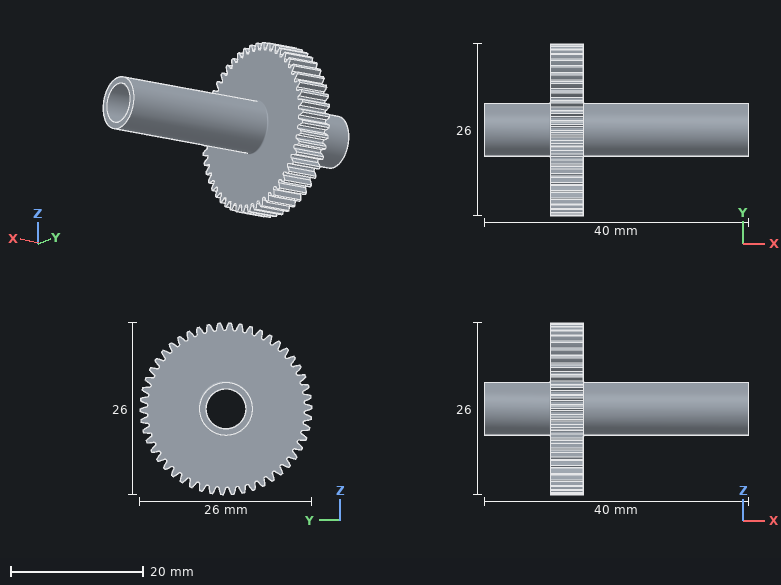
import cadquery as cq
import math

SHAFT_LENGTH = 40.0
SHAFT_RADIUS = 4.0
BORE_RADIUS = 3.0

MODULE = 0.5
TEETH = 50
PRESSURE_ANGLE = math.radians(20.0)
GEAR_START = 10.0
GEAR_WIDTH = 5.0
FIRST_TOOTH_ANGLE = math.radians(-0.96)
ROOT_ARC_DEPTH = 0.3
JUNCTION_FILLET = 0.2

PITCH_RADIUS = MODULE * TEETH / 2
TIP_RADIUS = PITCH_RADIUS + MODULE
CLEARANCE = 0.25 * MODULE
ROOT_RADIUS = PITCH_RADIUS - MODULE - CLEARANCE
BASE_RADIUS = PITCH_RADIUS * math.cos(PRESSURE_ANGLE)
TOOTH_PITCH = 2 * math.pi / TEETH
FLANK_START_RADIUS = ROOT_RADIUS + ROOT_ARC_DEPTH
FLANK_MIDDLE_RADIUS = (FLANK_START_RADIUS + TIP_RADIUS) / 2


def polar(radius, angle):
    return (radius * math.cos(angle), radius * math.sin(angle))


def involute(angle):
    return math.tan(angle) - angle


def half_tooth_angle(radius):
    """Angle from the tooth centreline to its involute flank at a radius."""
    flank_angle = math.acos(BASE_RADIUS / radius)
    return TOOTH_PITCH / 4 + involute(PRESSURE_ANGLE) - involute(flank_angle)


def gear_outline():
    """Toothed outline in the YZ plane: arcs for the involute flanks (approximated), tips and roots."""
    start_half = half_tooth_angle(FLANK_START_RADIUS)
    middle_half = half_tooth_angle(FLANK_MIDDLE_RADIUS)
    tip_half = half_tooth_angle(TIP_RADIUS)

    outline = cq.Workplane("YZ", origin=(GEAR_START, 0, 0))
    outline = outline.moveTo(*polar(FLANK_START_RADIUS, FIRST_TOOTH_ANGLE - start_half))
    for tooth in range(TEETH):
        center = FIRST_TOOTH_ANGLE + tooth * TOOTH_PITCH
        next_center = center + TOOTH_PITCH
        outline = outline.threePointArc(
            polar(FLANK_MIDDLE_RADIUS, center - middle_half),
            polar(TIP_RADIUS, center - tip_half),
        )
        outline = outline.threePointArc(
            polar(TIP_RADIUS, center),
            polar(TIP_RADIUS, center + tip_half),
        )
        outline = outline.threePointArc(
            polar(FLANK_MIDDLE_RADIUS, center + middle_half),
            polar(FLANK_START_RADIUS, center + start_half),
        )
        outline = outline.threePointArc(
            polar(ROOT_RADIUS, center + TOOTH_PITCH / 2),
            polar(FLANK_START_RADIUS, next_center - start_half),
        )
    return outline.close()


def gear():
    bore = cq.Workplane("YZ", origin=(GEAR_START, 0, 0)).circle(BORE_RADIUS).extrude(GEAR_WIDTH)
    return gear_outline().extrude(GEAR_WIDTH).cut(bore)


def shaft_with_fillets():
    """Shaft revolved about X, flaring in a fillet into each gear face."""
    gear_end = GEAR_START + GEAR_WIDTH
    flare_radius = SHAFT_RADIUS + JUNCTION_FILLET
    sag = JUNCTION_FILLET * (1 - math.sqrt(0.5))
    profile = (
        cq.Workplane("XY")
        .moveTo(0, BORE_RADIUS)
        .lineTo(0, SHAFT_RADIUS)
        .lineTo(GEAR_START - JUNCTION_FILLET, SHAFT_RADIUS)
        .threePointArc((GEAR_START - sag, SHAFT_RADIUS + sag), (GEAR_START, flare_radius))
        .lineTo(gear_end, flare_radius)
        .threePointArc((gear_end + sag, SHAFT_RADIUS + sag), (gear_end + JUNCTION_FILLET, SHAFT_RADIUS))
        .lineTo(SHAFT_LENGTH, SHAFT_RADIUS)
        .lineTo(SHAFT_LENGTH, BORE_RADIUS)
        .close()
    )
    return profile.revolve(360, (0, 0, 0), (1, 0, 0))


result = gear().union(shaft_with_fillets())